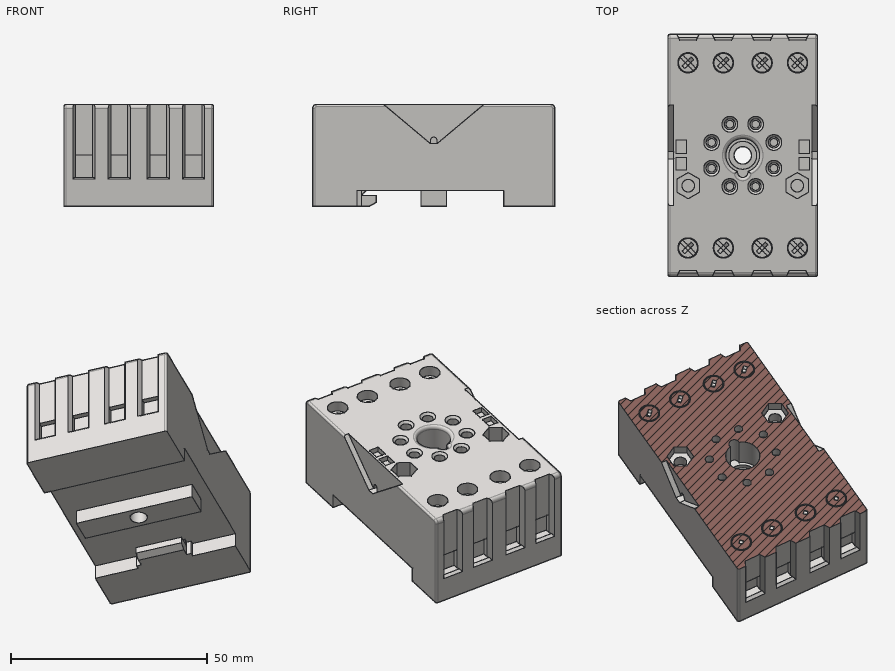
import cadquery as cq
import math

LENGTH = 61.8
WIDTH = 38.1
HEIGHT = 26.0
END_EDGE_RADIUS = 1.05
SIDE_EDGE_RADIUS = 0.55

COLUMN_INNER_X = 4.95
COLUMN_OUTER_X = 13.95
COLUMNS_X = (-COLUMN_OUTER_X, -COLUMN_INNER_X, COLUMN_INNER_X, COLUMN_OUTER_X)

CHANNEL_MOUTH_WIDTH = 5.7
CHANNEL_FLOOR_WIDTH = 4.25
CHANNEL_DEPTH = 1.5
CHANNEL_MOUTH_Z = 6.9
CHANNEL_FLOOR_Z = 7.4
CHANNEL_SILL_LENGTH = 0.85
WIRE_ENTRY_TOP_Z = 13.15
WIRE_ENTRY_DEPTH = 1.35

SCREW_Y = 23.6
SCREW_HOLE_DIAMETER = 5.2
SCREW_HEAD_DIAMETER = 4.8
SCREW_HEAD_HEIGHT = 1.55
FRONT_SCREW_DEPTH = 3.2
BACK_SCREW_DEPTH = 2.8
SCREW_SLOT_WIDTH = 0.9
SCREW_SLOT_DEPTH = 0.5
CROSS_DEPTH = 1.0
CROSS_TOP_LENGTH = 3.2
DRIVE_ANGLE = 45.0

PIN_COUNT = 8
PIN_CIRCLE_RADIUS = 8.6
PIN_HOLE_DIAMETER = 2.8
PIN_HOLE_DEPTH = 3.7
PIN_RIM_WIDTH = 0.6
PIN_RIM_DEPTH = 0.6
PIN_CONTACT_DIAMETER = 2.0
PIN_CONTACT_DEPTH = 2.5

BORE_DIAMETER = 8.6
BORE_DEPTH = 12.35
BORE_RIM_RADIUS = 0.85
SEAT_DIAMETER = 7.1
SEAT_DEPTH = 1.25
THROUGH_DIAMETER = 4.4
KEY_DIAMETER = 2.6
KEY_Y = -4.3

HEX_X = 13.9
HEX_Y = -7.7
HEX_ACROSS_CORNERS = 6.7
HEX_DEPTH = 6.2
HEX_HOLE_DIAMETER = 3.2
HEX_HOLE_DEPTH = 3.1
WINDOW_X = 15.7
WINDOW_WIDTH = 2.65
WINDOW_DEPTH = 1.4
WINDOW_SPANS_Y = ((0.5, 3.9), (-3.8, -0.55))

NOTCH_DEPTH = 1.4
NOTCH_TOP_HALF = 12.8
NOTCH_FLOOR_HALF = 0.9
NOTCH_FLOOR_Z = 16.05
ARCH_RADIUS = 0.8
ARCH_DEPTH = 1.25

RAIL_HEIGHT = 4.0
RAIL_BACK_Y = 17.8
RAIL_FRONT_Y = -19.5
TAB_LENGTH = 6.55
TAB_WIDTH = 31.5
LATCH_ROOT_Y = -18.5
LATCH_ROOT_WIDTH = 14.85
LATCH_WIDTH = 12.35
LATCH_TIP_Y = -14.65
LATCH_TOP_Z = 2.8
LATCH_LEAD_IN_Y = 1.8
LATCH_LEAD_IN_Z = 1.0
LATCH_GUSSET = 1.3


def box(x_span, y_span, z_span):
    """Box between the given (low, high) limits on each axis."""
    size = [high - low for low, high in (x_span, y_span, z_span)]
    low_corner = (x_span[0], y_span[0], z_span[0])
    return cq.Workplane("XY").box(*size, centered=False).translate(low_corner)


def cylinder_down(diameter, top_z, depth):
    """Vertical cylinder on the Z axis that reaches down from top_z."""
    return cq.Workplane("XY").workplane(offset=top_z - depth).circle(diameter / 2).extrude(depth)


def countersunk_hole(diameter, depth, rim_width, rim_depth):
    """Cutter for a hole in the top face with a conical mouth."""
    radius = diameter / 2
    return (
        cq.Workplane("XZ")
        .polyline([
            (0, HEIGHT), (radius + rim_width, HEIGHT), (radius, HEIGHT - rim_depth),
            (radius, HEIGHT - depth), (0, HEIGHT - depth),
        ])
        .close()
        .revolve(360, (0, 0, 0), (0, 1, 0))
    )


def make_block():
    """Block with rounded top end edges, then each long side rounded along its outline."""
    body = box((-WIDTH / 2, WIDTH / 2), (-LENGTH / 2, LENGTH / 2), (0, HEIGHT))
    body = body.edges("|X and >Z").fillet(END_EDGE_RADIUS)
    return body.faces("<X or >X").edges("not <Z").fillet(SIDE_EDGE_RADIUS)


def make_wire_channel():
    """Cutter for one channel in the -Y end: tapered walls, sloped sill and a deeper wire entry."""
    end_y = -LENGTH / 2
    floor_y = end_y + CHANNEL_DEPTH
    sill_y = end_y + CHANNEL_SILL_LENGTH
    half_mouth = CHANNEL_MOUTH_WIDTH / 2
    half_floor = CHANNEL_FLOOR_WIDTH / 2
    tapered_walls = (
        cq.Workplane("XY")
        .polyline([
            (-half_mouth, end_y), (half_mouth, end_y),
            (half_floor, floor_y), (-half_floor, floor_y),
        ])
        .close()
        .extrude(HEIGHT)
    )
    sloped_sill = (
        cq.Workplane("YZ")
        .polyline([
            (end_y, CHANNEL_MOUTH_Z), (sill_y, CHANNEL_FLOOR_Z), (floor_y, CHANNEL_FLOOR_Z),
            (floor_y, HEIGHT), (end_y, HEIGHT),
        ])
        .close()
        .extrude(half_mouth, both=True)
    )
    entry_y = (floor_y, floor_y + WIRE_ENTRY_DEPTH)
    entry = box((-half_floor, half_floor), entry_y, (CHANNEL_FLOOR_Z, WIRE_ENTRY_TOP_Z))
    return tapered_walls.intersect(sloped_sill).union(entry)


def make_screw(depth):
    """Screw head with a straight slot and a cross arm whose ends slope up."""
    top_z = HEIGHT - depth
    head = cylinder_down(SCREW_HEAD_DIAMETER, top_z, SCREW_HEAD_HEIGHT)
    slot = cq.Workplane("XY").box(SCREW_HEAD_DIAMETER, SCREW_SLOT_WIDTH, 2 * SCREW_SLOT_DEPTH)
    half_width = SCREW_SLOT_WIDTH / 2
    half_length = CROSS_TOP_LENGTH / 2
    cross_arm = (
        cq.Workplane("YZ")
        .polyline([
            (-half_length, 0), (half_length, 0),
            (half_width, -CROSS_DEPTH), (-half_width, -CROSS_DEPTH),
        ])
        .close()
        .extrude(half_width, both=True)
    )
    drive = slot.union(cross_arm).rotate((0, 0, 0), (0, 0, 1), -DRIVE_ANGLE)
    return head.cut(drive.translate((0, 0, top_z)))


def add_terminals(body):
    """Wire channels and recessed screws at both ends of every column."""
    channel = make_wire_channel()
    for x in COLUMNS_X:
        front_channel = channel.translate((x, 0, 0))
        body = body.cut(front_channel).cut(front_channel.mirror("XZ"))
        for y, depth in ((-SCREW_Y, FRONT_SCREW_DEPTH), (SCREW_Y, BACK_SCREW_DEPTH)):
            hole = cylinder_down(SCREW_HOLE_DIAMETER, HEIGHT, depth + SCREW_HEAD_HEIGHT)
            body = body.cut(hole.translate((x, y, 0)))
            body = body.union(make_screw(depth).translate((x, y, 0)))
    return body


def cut_socket(body):
    """Keyed and stepped centre bore with the ring of pin holes around it."""
    key = cylinder_down(KEY_DIAMETER, HEIGHT, BORE_DEPTH).translate((0, KEY_Y, 0))
    keyed_bore = cylinder_down(BORE_DIAMETER, HEIGHT, BORE_DEPTH).union(key)
    around_rim = cq.selectors.BoxSelector(
        (-BORE_DIAMETER, -BORE_DIAMETER, HEIGHT - BORE_RIM_RADIUS),
        (BORE_DIAMETER, BORE_DIAMETER, HEIGHT + BORE_RIM_RADIUS),
    )
    body = body.cut(keyed_bore).edges(around_rim).fillet(BORE_RIM_RADIUS)
    body = body.cut(cylinder_down(SEAT_DIAMETER, HEIGHT - BORE_DEPTH, SEAT_DEPTH))
    body = body.cut(cylinder_down(THROUGH_DIAMETER, HEIGHT, HEIGHT))

    contact = cylinder_down(PIN_CONTACT_DIAMETER, HEIGHT - PIN_HOLE_DEPTH, PIN_CONTACT_DEPTH)
    pin_hole = countersunk_hole(PIN_HOLE_DIAMETER, PIN_HOLE_DEPTH, PIN_RIM_WIDTH, PIN_RIM_DEPTH)
    pin_hole = pin_hole.union(contact)
    pitch = 360 / PIN_COUNT
    for i in range(PIN_COUNT):
        angle = math.radians((i + 0.5) * pitch)
        place = (PIN_CIRCLE_RADIUS * math.cos(angle), PIN_CIRCLE_RADIUS * math.sin(angle), 0)
        body = body.cut(pin_hole.translate(place))
    return body


def make_top_recesses():
    """Cutter for the hexagon and the two windows beside the -X edge."""
    cutter = (
        cq.Workplane("XY")
        .workplane(offset=HEIGHT - HEX_DEPTH)
        .polygon(6, HEX_ACROSS_CORNERS)
        .extrude(HEX_DEPTH)
        .union(cylinder_down(HEX_HOLE_DIAMETER, HEIGHT - HEX_DEPTH, HEX_HOLE_DEPTH))
        .rotate((0, 0, 0), (0, 0, 1), 90)
        .translate((-HEX_X, HEX_Y, 0))
    )
    window_x = (-WINDOW_X - WINDOW_WIDTH / 2, -WINDOW_X + WINDOW_WIDTH / 2)
    for window_y in WINDOW_SPANS_Y:
        cutter = cutter.union(box(window_x, window_y, (HEIGHT - WINDOW_DEPTH, HEIGHT)))
    return cutter


def make_side_notch():
    """Cutter for the V notch in the -X side, with an arched hole above its floor."""
    side = cq.Workplane("YZ", origin=(-WIDTH / 2, 0, 0))
    notch = (
        side.polyline([
            (-NOTCH_TOP_HALF, HEIGHT), (-NOTCH_FLOOR_HALF, NOTCH_FLOOR_Z),
            (NOTCH_FLOOR_HALF, NOTCH_FLOOR_Z), (NOTCH_TOP_HALF, HEIGHT),
        ])
        .close()
        .extrude(NOTCH_DEPTH)
    )
    spring_z = NOTCH_FLOOR_Z + ARCH_RADIUS
    arch = (
        side.moveTo(-ARCH_RADIUS, NOTCH_FLOOR_Z)
        .lineTo(ARCH_RADIUS, NOTCH_FLOOR_Z)
        .lineTo(ARCH_RADIUS, spring_z)
        .threePointArc((0, spring_z + ARCH_RADIUS), (-ARCH_RADIUS, spring_z))
        .close()
        .extrude(NOTCH_DEPTH + ARCH_DEPTH)
    )
    return notch.union(arch)


def cut_side_features(body):
    """Top recesses and side notches, mirrored onto both long sides."""
    for cutter in (make_top_recesses(), make_side_notch()):
        body = body.cut(cutter).cut(cutter.mirror("YZ"))
    return body


def make_latch():
    """Latch for the rail: a root strip with a hook that points toward +Y."""
    half_root = LATCH_ROOT_WIDTH / 2
    root = box((-half_root, half_root), (RAIL_FRONT_Y, LATCH_ROOT_Y), (0, RAIL_HEIGHT))
    hook = (
        cq.Workplane("YZ")
        .polyline([
            (RAIL_FRONT_Y, 0), (LATCH_TIP_Y - LATCH_LEAD_IN_Y, 0),
            (LATCH_TIP_Y, LATCH_LEAD_IN_Z), (LATCH_TIP_Y, LATCH_TOP_Z),
            (LATCH_ROOT_Y, LATCH_TOP_Z), (LATCH_ROOT_Y + LATCH_GUSSET, RAIL_HEIGHT),
            (RAIL_FRONT_Y, RAIL_HEIGHT),
        ])
        .close()
        .extrude(LATCH_WIDTH / 2, both=True)
    )
    return root.union(hook)


def add_rail_mount(body):
    """Rail channel through the full width, then its centre tab and latch."""
    rail_z = (0, RAIL_HEIGHT)
    channel = box((-WIDTH / 2, WIDTH / 2), (RAIL_FRONT_Y, RAIL_BACK_Y), rail_z)
    tab = box((-TAB_WIDTH / 2, TAB_WIDTH / 2), (-TAB_LENGTH / 2, TAB_LENGTH / 2), rail_z)
    tab = tab.cut(cylinder_down(THROUGH_DIAMETER, HEIGHT, HEIGHT))
    return body.cut(channel).union(tab).union(make_latch())


socket = make_block()
socket = add_terminals(socket)
socket = cut_socket(socket)
socket = cut_side_features(socket)
result = add_rail_mount(socket)